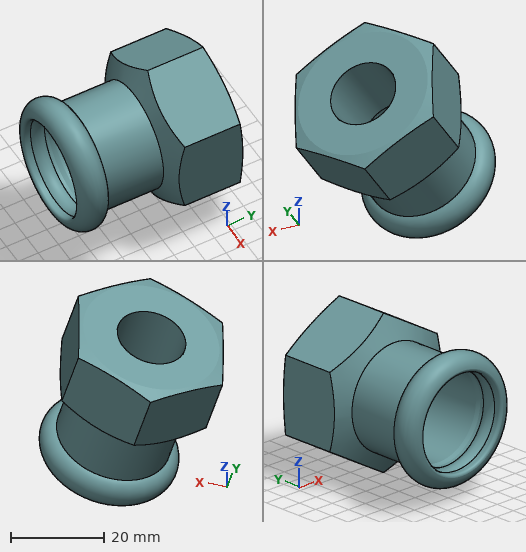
import cadquery as cq
import math

length = 39.0
across_flats = 32.0
hex_front = 21.05
front_cone_angle = 30.0
rear_chamfer_angle = 15.0
rear_face_radius = 15.15

pipe_radius = 25.3 / 2
socket_radius = 22.3 / 2
through_radius = 15.2 / 2

bead_radius = 15.4
bead_crest = 3.7
bead_end = 7.37
lip_radius = 22.9 / 2
mouth_radius = 12.15
seal_crest_radius = 10.95
seal_half_width = 1.7
seat_length = 0.9
seat_taper_length = 1.05

corner_radius = across_flats / math.sqrt(3)
cone_rise = (corner_radius - pipe_radius) * math.tan(math.radians(front_cone_angle))
chamfer_rise = (corner_radius - rear_face_radius) * math.tan(math.radians(rear_chamfer_angle))


def revolve_about_y(profile):
    """Revolve a closed (radius, Y) profile a full turn around the Y axis."""
    return profile.close().revolve(360, (0, 0, 0), (0, 1, 0))


def make_hex():
    """Hexagon with corners on Z, trimmed by a front cone and a rear chamfer."""
    hexagon = (
        cq.Workplane("XZ", origin=(0, hex_front, 0))
        .transformed(rotate=(0, 0, 90))
        .polygon(6, 2 * corner_radius)
        .extrude(hex_front - length)
    )
    envelope = revolve_about_y(
        cq.Workplane("XY")
        .moveTo(0, hex_front)
        .lineTo(pipe_radius, hex_front)
        .lineTo(corner_radius, hex_front + cone_rise)
        .lineTo(corner_radius, length - chamfer_rise)
        .lineTo(rear_face_radius, length)
        .lineTo(0, length)
    )
    return hexagon.intersect(envelope)


def make_pipe_and_bead():
    """Plain pipe ending in a rounded bead that runs into the mouth plane."""
    return revolve_about_y(
        cq.Workplane("XY")
        .lineTo(mouth_radius, 0)
        .threePointArc((bead_radius, bead_crest), (pipe_radius, bead_end))
        .lineTo(pipe_radius, hex_front)
        .lineTo(0, hex_front)
    )


def make_socket():
    """Blind socket with a rounded mouth, an inward seal bulge and a tapered seat."""
    mouth_round = mouth_radius - lip_radius
    arc_middle = mouth_round * (1 - math.sqrt(0.5))
    seal_start = bead_crest - seal_half_width
    seal_end = bead_crest + seal_half_width
    seat_end = seal_end + seat_length
    return revolve_about_y(
        cq.Workplane("XY")
        .lineTo(mouth_radius, 0)
        .threePointArc((lip_radius + arc_middle, arc_middle), (lip_radius, mouth_round))
        .lineTo(lip_radius, seal_start)
        .threePointArc((seal_crest_radius, bead_crest), (lip_radius, seal_end))
        .lineTo(lip_radius, seat_end)
        .lineTo(socket_radius, seat_end + seat_taper_length)
        .lineTo(socket_radius, hex_front)
        .lineTo(0, hex_front)
    )


through_bore = cq.Workplane("XZ").circle(through_radius).extrude(-length)

result = make_hex().union(make_pipe_and_bead()).cut(make_socket()).cut(through_bore)